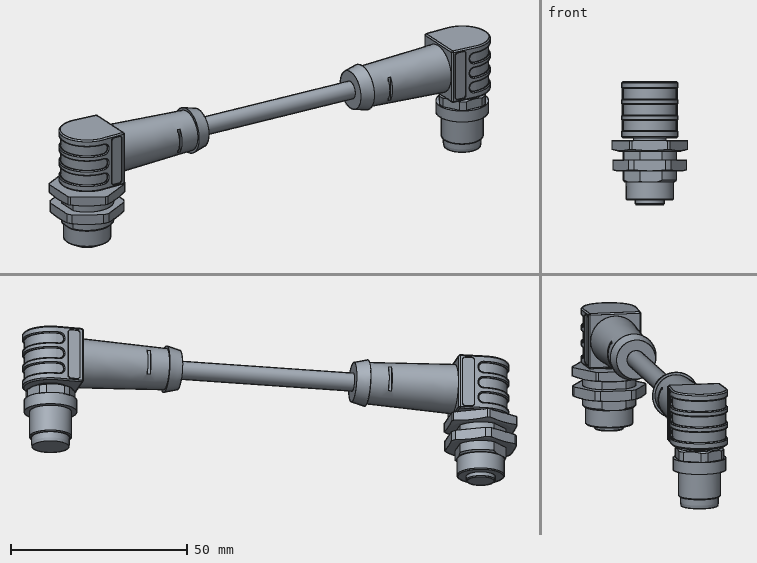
import cadquery as cq
import math

AXIS_SPACING = 125.0
CABLE_DIAMETER = 5.2

HEAD_RADIUS = 8.0
HEAD_HEIGHT = 2 * HEAD_RADIUS
HEAD_BACK = 8.0
HEAD_BACK_HALF_WIDTH = 7.6
HEAD_CHAMFER = 0.4
HEAD_BOTTOM = -HEAD_HEIGHT / 2
GRIP_PITCH = 4.5
GRIP_WIDTH = 2.9
GRIP_DEPTH = 0.5
GRIP_EDGE_CHAMFER = 0.3
GRIP_END = 2.2
PANEL_START = 3.5
PANEL_END = 6.9
PANEL_MARGIN = 0.75
PANEL_CORNER = 0.5
PANEL_DEPTH = 0.3

SLEEVE_BASE_DIAMETER = 14.1
SLEEVE_TIP_DIAMETER = 11.8
COLLAR_DIAMETER = 13.3
COLLAR_START = 33.3
COLLAR_END_DIAMETER = 11.3
SLEEVE_END = 37.2
SLEEVE_NOTCH_START = 27.0
SLEEVE_NOTCH_WIDTH = 0.9
SLEEVE_NOTCH_HALF_SPACING = 5.05

NECK_DIAMETER = 9.3
NECK_END = 16.8

NUT_ACROSS_FLATS = 19.0
NUT_THICKNESS = 3.0
NUT_CHAMFER_ANGLE = 15.0
FIXED_NUT_CORNER_DIAMETER = 21.5
FIXED_NUT_CHAMFER_WIDTH = 2.0
LOCK_NUT_CORNER_DIAMETER = 21.0
LOCK_NUT_CHAMFER_WIDTH = 1.0
LOCK_NUT_START = 22.35
THREAD_DIAMETER = 15.2
THREAD_FLAT_DISTANCE = 6.75
THREAD_FLAT_ANGLES = (90, 225, 270)
THREAD_END = 28.5
THREAD_CHAMFER = 0.5
FEMALE_BARREL_DIAMETER = 13.5
FEMALE_BARREL_END = 33.6
FEMALE_BARREL_CHAMFER = 0.3
INSERT_DIAMETER = 8.3
INSERT_CHAMFER = 0.3
FEMALE_END = 35.0

DRIVE_ACROSS_FLATS = 13.0
DRIVE_CORNER_DIAMETER = 14.0
DRIVE_TURN = 30
DRIVE_CHAMFER_WIDTH = 0.7
DRIVE_CHAMFER_ANGLE = 30.0
DRIVE_END = 19.8
FLANGE_DIAMETER = 15.0
FLANGE_END = 23.2
MALE_THREAD_DIAMETER = 12.0
MALE_THREAD_END = 30.9
MALE_THREAD_CHAMFER = 0.3
MALE_TIP_DIAMETER = 10.8
MALE_TIP_STRAIGHT_END = 32.7
MALE_TIP_END_DIAMETER = 10.5
MALE_END = 33.6


def level(depth):
    """Z of a level lying `depth` below the top face of the head."""
    return HEAD_HEIGHT / 2 - depth


def disc(diameter, start, end):
    return cq.Workplane("XY", origin=(0, 0, level(end))).circle(diameter / 2).extrude(end - start)


def chamfered_hexagon(across_flats, corner_diameter, start, end, chamfered_face, width, angle):
    """Hexagonal prism, points along X, with its corners trimmed to a disc coned off at one end."""
    point_diameter = across_flats / math.cos(math.pi / 6)
    prism = cq.Workplane("XY", origin=(0, 0, level(end))).polygon(6, point_diameter).extrude(end - start)
    height = width * math.tan(math.radians(angle))
    envelope = disc(corner_diameter, start, end).faces(chamfered_face).chamfer(height, width)
    return prism.intersect(envelope)


def head_outline(inset):
    """D-shaped outline: half round in front, narrowing slightly to the cable side."""
    radius = HEAD_RADIUS - inset
    back = HEAD_BACK_HALF_WIDTH - inset
    return (
        cq.Workplane("XY", origin=(0, 0, HEAD_BOTTOM))
        .moveTo(-radius, 0)
        .threePointArc((0, -radius), (radius, 0))
        .lineTo(back, HEAD_BACK)
        .lineTo(-back, HEAD_BACK)
        .close()
    )


def surface_layer(depth):
    """Skin of the head, `depth` thick, on its round front and both sides."""
    return head_outline(0).extrude(HEAD_HEIGHT).cut(head_outline(depth).extrude(HEAD_HEIGHT))


def grip_groove(z):
    """Groove round the front, ending in a half round on each side."""
    half = GRIP_WIDTH / 2
    front = -2 * HEAD_RADIUS
    arc_start = GRIP_END - half
    slot = (
        cq.Workplane("YZ", origin=(-HEAD_RADIUS, 0, z))
        .moveTo(front, -half)
        .lineTo(arc_start, -half)
        .threePointArc((GRIP_END, 0), (arc_start, half))
        .lineTo(front, half)
        .close()
        .extrude(2 * HEAD_RADIUS)
    )
    return slot.intersect(surface_layer(GRIP_DEPTH))


def front_box_selector(reach, half_height, z):
    """Selects edges lying wholly within a box around the front of the head."""
    margin = GRIP_DEPTH / 10
    low = (-reach - margin, -reach - margin, z - half_height - margin)
    high = (reach + margin, GRIP_END + margin, z + half_height + margin)
    return cq.selectors.BoxSelector(low, high, boundingbox=True)


def cut_grip_groove(body, z):
    """Cut one groove and chamfer its rim, leaving the edges of its floor sharp."""
    groove_edges = front_box_selector(HEAD_RADIUS, GRIP_WIDTH / 2, z)
    floor_edges = front_box_selector(HEAD_RADIUS - GRIP_DEPTH, GRIP_WIDTH / 2, z)
    wall_edges = cq.selectors.ParallelDirSelector(cq.Vector(1, 0, 0))
    rim = groove_edges - floor_edges - wall_edges
    return body.cut(grip_groove(z)).edges(rim).chamfer(GRIP_EDGE_CHAMFER)


def side_panels():
    panel = (
        cq.Workplane("XY")
        .box(HEAD_HEIGHT, PANEL_END - PANEL_START, HEAD_HEIGHT - 2 * PANEL_MARGIN)
        .edges("|X")
        .chamfer(PANEL_CORNER)
        .translate((0, (PANEL_START + PANEL_END) / 2, 0))
    )
    return panel.intersect(surface_layer(PANEL_DEPTH))


def head():
    body = head_outline(0).extrude(HEAD_HEIGHT)
    body = body.edges("|Z and >Y").chamfer(HEAD_CHAMFER).faces("|Z").chamfer(HEAD_CHAMFER)
    for step in (-1, 0, 1):
        body = cut_grip_groove(body, step * GRIP_PITCH)
    return body.cut(side_panels())


def sleeve():
    profile = [
        (0, HEAD_BACK),
        (SLEEVE_BASE_DIAMETER / 2, HEAD_BACK),
        (SLEEVE_TIP_DIAMETER / 2, COLLAR_START),
        (COLLAR_DIAMETER / 2, COLLAR_START),
        (COLLAR_END_DIAMETER / 2, SLEEVE_END),
        (0, SLEEVE_END),
    ]
    body = cq.Workplane("XY").polyline(profile).close().revolve(360, (0, 0, 0), (0, 1, 0))
    for side in (-1, 1):
        notch = cq.Workplane("XY").box(COLLAR_DIAMETER, SLEEVE_NOTCH_WIDTH, COLLAR_DIAMETER)
        offset = SLEEVE_NOTCH_HALF_SPACING + COLLAR_DIAMETER / 2
        body = body.cut(notch.translate((side * offset, SLEEVE_NOTCH_START + SLEEVE_NOTCH_WIDTH / 2, 0)))
    return body


def flattened_thread():
    body = disc(THREAD_DIAMETER, NECK_END, THREAD_END).faces("<Z").chamfer(THREAD_CHAMFER)
    for angle in THREAD_FLAT_ANGLES:
        block = (
            cq.Workplane("XY", origin=(0, 0, level(THREAD_END)))
            .center(THREAD_FLAT_DISTANCE + THREAD_DIAMETER / 2, 0)
            .rect(THREAD_DIAMETER, THREAD_DIAMETER)
            .extrude(THREAD_END - NECK_END)
        )
        body = body.cut(block.rotate((0, 0, 0), (0, 0, 1), angle))
    return body


def angled_base():
    """Head, cable sleeve and neck, which both connectors share."""
    return head().union(sleeve()).union(disc(NECK_DIAMETER, HEAD_HEIGHT, NECK_END))


def nut(start, corner_diameter, chamfer_width):
    end = start + NUT_THICKNESS
    return chamfered_hexagon(
        NUT_ACROSS_FLATS, corner_diameter, start, end, "<Z", chamfer_width, NUT_CHAMFER_ANGLE
    )


def female_connector():
    barrel = disc(FEMALE_BARREL_DIAMETER, THREAD_END, FEMALE_BARREL_END)
    insert = disc(INSERT_DIAMETER, FEMALE_BARREL_END, FEMALE_END)
    return (
        angled_base()
        .union(flattened_thread())
        .union(nut(NECK_END, FIXED_NUT_CORNER_DIAMETER, FIXED_NUT_CHAMFER_WIDTH))
        .union(nut(LOCK_NUT_START, LOCK_NUT_CORNER_DIAMETER, LOCK_NUT_CHAMFER_WIDTH))
        .union(barrel.faces("<Z").chamfer(FEMALE_BARREL_CHAMFER))
        .union(insert.faces("<Z").chamfer(INSERT_CHAMFER))
    )


def male_tip():
    profile = [
        (0, level(MALE_THREAD_END)),
        (MALE_TIP_DIAMETER / 2, level(MALE_THREAD_END)),
        (MALE_TIP_DIAMETER / 2, level(MALE_TIP_STRAIGHT_END)),
        (MALE_TIP_END_DIAMETER / 2, level(MALE_END)),
        (0, level(MALE_END)),
    ]
    return cq.Workplane("XZ").polyline(profile).close().revolve(360, (0, 0, 0), (0, 1, 0))


def drive_hexagon():
    body = chamfered_hexagon(
        DRIVE_ACROSS_FLATS,
        DRIVE_CORNER_DIAMETER,
        NECK_END,
        DRIVE_END,
        ">Z",
        DRIVE_CHAMFER_WIDTH,
        DRIVE_CHAMFER_ANGLE,
    )
    return body.rotate((0, 0, 0), (0, 0, 1), DRIVE_TURN)


def male_connector():
    thread = disc(MALE_THREAD_DIAMETER, FLANGE_END, MALE_THREAD_END)
    return (
        angled_base()
        .union(drive_hexagon())
        .union(disc(FLANGE_DIAMETER, DRIVE_END, FLANGE_END))
        .union(thread.faces("<Z").chamfer(MALE_THREAD_CHAMFER))
        .union(male_tip())
    )


def cable():
    length = AXIS_SPACING - 2 * SLEEVE_END
    start = cq.Workplane("XZ", origin=(0, SLEEVE_END, 0))
    return start.circle(CABLE_DIAMETER / 2).extrude(-length)


far_connector = male_connector().mirror("XZ").translate((0, AXIS_SPACING, 0))
result = female_connector().union(cable()).union(far_connector)